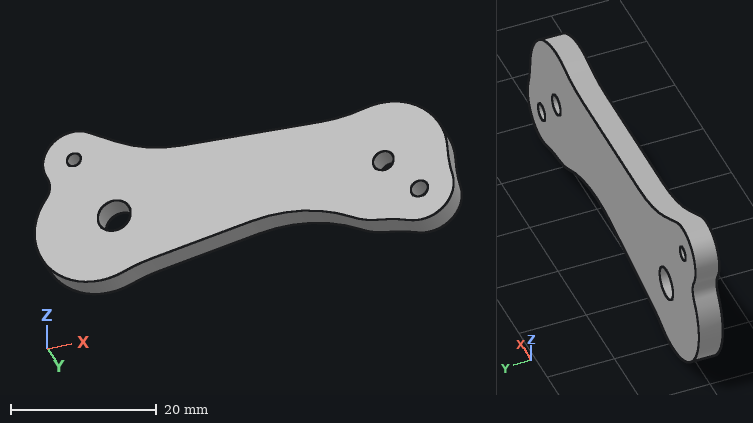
import cadquery as cq
import math

thickness = 3.6

horn_centre, horn_radius = (-5.8, 9.95), 4.5
heel_centre, heel_radius = (-2.3, -0.7), 9.2
head_centre, head_radius = (38.9, 1.45), 9.3
toe_centre, toe_radius = (44.15, -3.95), 5.0

holes = [
    ((0, 0), 4.7),
    (horn_centre, 2.0),
    (head_centre, 3.0),
    (toe_centre, 2.5),
]

waist_top = 9.35
waist_top_start = 9.7
waist_bottom = -4.1
underside_angle = math.radians(12.6)

horn_blend_radius = 19.6
waist_blend = 21.2
horn_heel_blend = 2.9
toe_blend = 21.2


def point_from(start, direction, distance):
    return (start[0] + direction[0] * distance, start[1] + direction[1] * distance)


def direction_to(start, end):
    length = math.dist(start, end)
    return ((end[0] - start[0]) / length, (end[1] - start[1]) / length)


def blend_centre(first, first_radius, second, second_radius, radius):
    """Centre of the circle touching two others, to the left of first -> second."""
    reach = first_radius + radius
    other_reach = second_radius + radius
    gap = math.dist(first, second)
    along = (reach**2 - other_reach**2 + gap**2) / (2 * gap)
    across = math.sqrt(reach**2 - along**2)
    forward = direction_to(first, second)
    left = (-forward[1], forward[0])
    return point_from(point_from(first, forward, along), left, across)


def touch_point(lobe, lobe_radius, blend):
    return point_from(lobe, direction_to(lobe, blend), lobe_radius)


def arc_to(profile, start, end, centre, radius):
    """Add an arc about centre that spans less than a half turn."""
    chord_middle = ((start[0] + end[0]) / 2, (start[1] + end[1]) / 2)
    middle = point_from(centre, direction_to(centre, chord_middle), radius)
    return profile.threePointArc(middle, end)


horn_blend = (waist_top_start, waist_top + horn_blend_radius)
horn_axis = direction_to(horn_centre, horn_blend)
flank_turn = math.acos((horn_radius + horn_blend_radius) / math.dist(horn_centre, horn_blend))
flank_angle = math.atan2(horn_axis[1], horn_axis[0]) + flank_turn
flank_normal = (math.cos(flank_angle), math.sin(flank_angle))
flank_start = point_from(horn_centre, flank_normal, horn_radius)
flank_end = point_from(horn_blend, flank_normal, -horn_blend_radius)

head_blend_z = waist_top + waist_blend
head_rise = head_blend_z - head_centre[1]
head_run = math.sqrt((head_radius + waist_blend) ** 2 - head_rise**2)
head_blend = (head_centre[0] - head_run, head_blend_z)
head_top = touch_point(head_centre, head_radius, head_blend)

toe_outer_blend = blend_centre(head_centre, head_radius, toe_centre, toe_radius, toe_blend)
head_outer = touch_point(head_centre, head_radius, toe_outer_blend)
toe_outer = touch_point(toe_centre, toe_radius, toe_outer_blend)
toe_inner_blend = blend_centre(toe_centre, toe_radius, head_centre, head_radius, toe_blend)
toe_inner = touch_point(toe_centre, toe_radius, toe_inner_blend)
head_inner = touch_point(head_centre, head_radius, toe_inner_blend)

under_blend_z = waist_bottom - waist_blend
under_drop = head_centre[1] - under_blend_z
under_run = math.sqrt((head_radius + waist_blend) ** 2 - under_drop**2)
under_blend = (head_centre[0] - under_run, under_blend_z)
head_under = touch_point(head_centre, head_radius, under_blend)
slope = (math.cos(underside_angle), math.sin(underside_angle))
slope_normal = (-slope[1], slope[0])
slope_start = point_from(under_blend, slope_normal, waist_blend)

offset = (under_blend[0] - heel_centre[0], under_blend[1] - heel_centre[1])
depth = offset[0] * slope_normal[0] + offset[1] * slope_normal[1]
run = math.sqrt((heel_radius + waist_blend) ** 2 - depth**2)
heel_blend = point_from(point_from(heel_centre, slope_normal, depth), slope, run)
slope_end = point_from(heel_blend, slope_normal, waist_blend)
heel_under = touch_point(heel_centre, heel_radius, heel_blend)

notch_centre = blend_centre(heel_centre, heel_radius, horn_centre, horn_radius, horn_heel_blend)
heel_notch = touch_point(heel_centre, heel_radius, notch_centre)
horn_notch = touch_point(horn_centre, horn_radius, notch_centre)

profile = cq.Workplane("XZ").moveTo(*flank_start).lineTo(*flank_end)
waist_flat_start = (waist_top_start, waist_top)
waist_flat_end = (head_blend[0], waist_top)
profile = arc_to(profile, flank_end, waist_flat_start, horn_blend, horn_blend_radius)
profile = profile.lineTo(*waist_flat_end)
profile = arc_to(profile, waist_flat_end, head_top, head_blend, waist_blend)
profile = arc_to(profile, head_top, head_outer, head_centre, head_radius)
profile = arc_to(profile, head_outer, toe_outer, toe_outer_blend, toe_blend)
profile = arc_to(profile, toe_outer, toe_inner, toe_centre, toe_radius)
profile = arc_to(profile, toe_inner, head_inner, toe_inner_blend, toe_blend)
profile = arc_to(profile, head_inner, head_under, head_centre, head_radius)
profile = arc_to(profile, head_under, slope_start, under_blend, waist_blend)
profile = profile.lineTo(*slope_end)
profile = arc_to(profile, slope_end, heel_under, heel_blend, waist_blend)
profile = arc_to(profile, heel_under, heel_notch, heel_centre, heel_radius)
profile = arc_to(profile, heel_notch, horn_notch, notch_centre, horn_heel_blend)
profile = arc_to(profile, horn_notch, flank_start, horn_centre, horn_radius)

result = profile.close().extrude(thickness)

for (hole_x, hole_z), diameter in holes:
    hole = cq.Workplane("XZ").center(hole_x, hole_z).circle(diameter / 2).extrude(thickness)
    result = result.cut(hole)